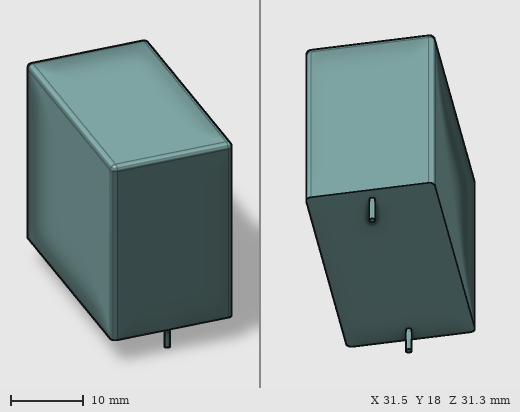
import cadquery as cq

housing_length = 31.5
housing_width = 18.0
housing_height = 27.5
edge_radius = 0.8

pin_diameter = 0.8
pin_length = 3.8
pin_spacing = 27.5


def make_housing():
    """Closed block with rounded upright and top edges and a sharp, flat base at Z = 0."""
    block = cq.Workplane("XY").box(
        housing_length, housing_width, housing_height, centered=(True, True, False)
    )
    return block.edges("|Z or >Z").fillet(edge_radius)


def make_pin(x):
    """Round lead hanging from the housing base on its long centre line."""
    return cq.Workplane("XY").center(x, 0).circle(pin_diameter / 2).extrude(-pin_length)


housing = make_housing()
pins = [make_pin(side * pin_spacing / 2) for side in (-1, 1)]

result = cq.Compound.makeCompound([housing.val(), *[pin.val() for pin in pins]])